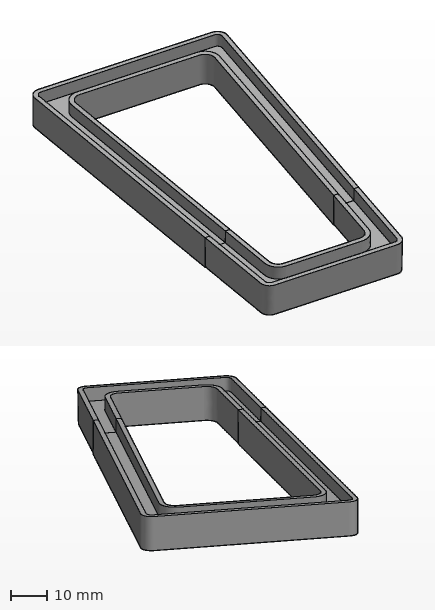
import cadquery as cq
import math

length = 116.0
height = 10.0
wide_end_width = 62.2
narrow_end_width = 44.8
seam_x = 28.2
floor_height = 6.0

channel_outer_inset = 1.5
channel_inner_inset = 6.5
opening_inset = 8.0

outer_radius = 3.0
channel_outer_radius = 1.5
channel_inner_radius = 4.5
opening_radius = 3.0

splay_shift = 0.17
splay_angle = math.degrees(math.atan(splay_shift / height))

side_slope = (wide_end_width - narrow_end_width) / 2 / length
side_stretch = math.hypot(1, side_slope)


def tapered_outline(inset, radius, z):
    """Closed trapezoid, parallel to the outer outline, with rounded corners."""
    end_x = length / 2 - inset
    middle_half_width = (wide_end_width + narrow_end_width) / 4 - inset * side_stretch
    wide_half_width = middle_half_width + side_slope * end_x
    narrow_half_width = middle_half_width - side_slope * end_x
    sketch = (
        cq.Sketch()
        .polygon([
            (-end_x, -wide_half_width),
            (end_x, -narrow_half_width),
            (end_x, narrow_half_width),
            (-end_x, wide_half_width),
            (-end_x, -wide_half_width),
        ])
        .vertices()
        .fillet(radius)
    )
    return cq.Workplane("XY", origin=(0, 0, z)).placeSketch(sketch)


def prism(inset, radius, bottom, taper):
    """Outline at the top face extruded down to the given height."""
    return tapered_outline(inset, radius, height).extrude(bottom - height, taper=taper)


def channel_ring(taper):
    """Whole ring, with both rims splayed away from the channel by the taper."""
    ring = prism(0, outer_radius, 0, taper)
    channel = prism(channel_outer_inset, channel_outer_radius, floor_height, taper)
    inner_rim = prism(channel_inner_inset, channel_inner_radius, floor_height, -taper)
    opening = prism(opening_inset, opening_radius, 0, -taper)
    return ring.cut(channel.cut(inner_rim)).cut(opening)


def seam_side(direction):
    """Block covering everything on one side of the seam plane."""
    return cq.Workplane("XY", origin=(seam_x + direction * length / 2, 0, height / 2)).box(
        length, wide_end_width, height
    )


wide_body = channel_ring(0).intersect(seam_side(-1))

narrow_body = channel_ring(splay_angle).intersect(seam_side(1))

result = cq.Compound.makeCompound([wide_body.val(), narrow_body.val()])